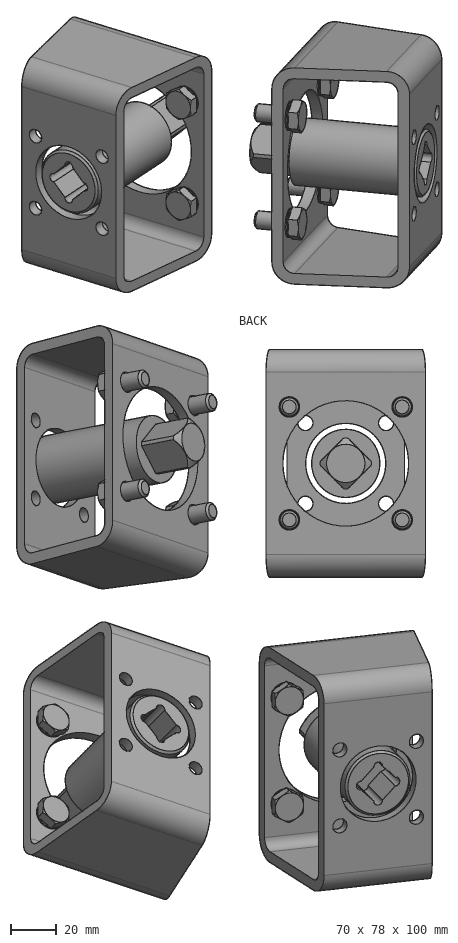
import cadquery as cq
import math

BRACKET_DEPTH = 60.0
BRACKET_HEIGHT = 100.0
WALL = 5.0
CORNER_RADIUS = 10.0
FRONT_WIDTH = 50.0
REAR_WIDTH = 70.0
FRONT_BORE_DIAMETER = 35.0
REAR_BORE_DIAMETER = 55.0
FRONT_HOLE_DIAMETER = 6.5
FRONT_BOLT_CIRCLE = 50.0
REAR_HOLE_DIAMETER = 9.0
REAR_BOLT_CIRCLE = 70.0

SHAFT_DIAMETER = 30.0
SHAFT_BODY_LENGTH = 58.0
SHAFT_LENGTH = 78.0
SHAFT_CHAMFER = 1.0
TIP_FLATS = 17.0
TIP_DIAMETER = 22.4
TIP_CHAMFER_LENGTH = 2.5
TIP_END_DIAMETER = 16.8
TIP_CHAMFER_WIDTH = (TIP_DIAMETER - TIP_END_DIAMETER) / 2
SOCKET_FLATS = 14.0
SOCKET_DEPTH = 20.0
SOCKET_RELIEF_RADIUS = 2.0
SOCKET_RELIEF_REACH = 10.0

WASHER_DIAMETER = 13.0
WASHER_TOP_DIAMETER = 11.6
WASHER_BORE_DIAMETER = 8.4
WASHER_THICKNESS = 0.8
WASHER_RIM = 0.5

SCREW_DIAMETER = 8.0
SCREW_LENGTH = 16.0
SCREW_CHAMFER = 1.0
HEAD_FLATS = 13.0
HEAD_HEIGHT = 5.3
HEAD_COLLAR_DIAMETER = 11.6
HEAD_COLLAR_HEIGHT = 0.6
HEAD_CHAMFER_ANGLE = 30.0

REAR_WALL_INSIDE = BRACKET_DEPTH - WALL
SCREW_SEAT = REAR_WALL_INSIDE - WASHER_THICKNESS


def square_pattern(bolt_circle):
    """Four (x, z) places on a bolt circle, one in each quadrant."""
    offset = bolt_circle / 2 * math.sqrt(0.5)
    return [(x, z) for x in (-offset, offset) for z in (-offset, offset)]


def plane_at(y):
    """Plane normal to +Y at the given y; its local x is X and its local y is -Z."""
    return cq.Workplane(cq.Plane(origin=(0, y, 0), xDir=(1, 0, 0), normal=(0, 1, 0)))


def revolve_about_y(profile):
    """Solid of revolution about the Y axis from (radius, y) points."""
    return cq.Workplane("XY").polyline(profile).close().revolve(360, (0, 0, 0), (0, 1, 0))


def make_bracket():
    def round_block(depth, height, radius):
        block = cq.Workplane("XY").box(REAR_WIDTH, depth, height).edges("|X").fillet(radius)
        return block.translate((0, BRACKET_DEPTH / 2, 0))

    outside = round_block(BRACKET_DEPTH, BRACKET_HEIGHT, CORNER_RADIUS)
    inside = round_block(BRACKET_DEPTH - 2 * WALL, BRACKET_HEIGHT - 2 * WALL, CORNER_RADIUS - WALL)
    plan = [
        (-FRONT_WIDTH / 2, 0),
        (FRONT_WIDTH / 2, 0),
        (REAR_WIDTH / 2, BRACKET_DEPTH),
        (-REAR_WIDTH / 2, BRACKET_DEPTH),
    ]
    trapezoid = cq.Workplane("XY").polyline(plan).close().extrude(BRACKET_HEIGHT / 2, both=True)
    bracket = outside.cut(inside).intersect(trapezoid)

    front_holes = plane_at(0).circle(FRONT_BORE_DIAMETER / 2).extrude(WALL)
    front_holes = front_holes.union(
        plane_at(0).pushPoints(square_pattern(FRONT_BOLT_CIRCLE))
        .circle(FRONT_HOLE_DIAMETER / 2).extrude(WALL)
    )
    rear_holes = plane_at(REAR_WALL_INSIDE).circle(REAR_BORE_DIAMETER / 2).extrude(WALL)
    rear_holes = rear_holes.union(
        plane_at(REAR_WALL_INSIDE).pushPoints(square_pattern(REAR_BOLT_CIRCLE))
        .circle(REAR_HOLE_DIAMETER / 2).extrude(WALL)
    )
    return bracket.cut(front_holes).cut(rear_holes)


def make_socket():
    """Square socket standing on its corner, with a rounded relief at each corner."""
    relief_offset = SOCKET_RELIEF_REACH - SOCKET_RELIEF_RADIUS
    reliefs = [(relief_offset, 0), (-relief_offset, 0), (0, relief_offset), (0, -relief_offset)]
    square = plane_at(0).transformed(rotate=(0, 0, 45)).rect(SOCKET_FLATS, SOCKET_FLATS)
    socket = square.extrude(SOCKET_DEPTH)
    socket = socket.union(
        plane_at(0).pushPoints(reliefs).circle(SOCKET_RELIEF_RADIUS).extrude(SOCKET_DEPTH)
    )
    return socket


def make_shaft():
    radius = SHAFT_DIAMETER / 2
    body = revolve_about_y([
        (0, 0),
        (radius - SHAFT_CHAMFER, 0),
        (radius, SHAFT_CHAMFER),
        (radius, SHAFT_BODY_LENGTH),
        (0, SHAFT_BODY_LENGTH),
    ])
    tip_length = SHAFT_LENGTH - SHAFT_BODY_LENGTH
    tip = plane_at(SHAFT_BODY_LENGTH).circle(TIP_DIAMETER / 2).extrude(tip_length)
    tip = tip.faces(">Y").chamfer(TIP_CHAMFER_LENGTH, TIP_CHAMFER_WIDTH)
    tip_square = plane_at(SHAFT_BODY_LENGTH).transformed(rotate=(0, 0, 45))
    tip = tip.intersect(tip_square.rect(TIP_FLATS, TIP_FLATS).extrude(tip_length))
    return body.union(tip).cut(make_socket())


def make_washer(x, z):
    bore = WASHER_BORE_DIAMETER / 2
    washer = revolve_about_y([
        (bore, REAR_WALL_INSIDE),
        (WASHER_DIAMETER / 2, REAR_WALL_INSIDE),
        (WASHER_DIAMETER / 2, REAR_WALL_INSIDE - WASHER_RIM),
        (WASHER_TOP_DIAMETER / 2, SCREW_SEAT),
        (bore, SCREW_SEAT),
    ])
    return washer.translate((x, 0, z))


def make_screw(x, z):
    head_end = SCREW_SEAT - HEAD_HEIGHT
    hex_length = HEAD_HEIGHT - HEAD_COLLAR_HEIGHT
    corner_diameter = HEAD_FLATS / math.cos(math.radians(30))
    chamfer = (corner_diameter - HEAD_FLATS) / 2 * math.tan(math.radians(HEAD_CHAMFER_ANGLE))
    hexagon = plane_at(head_end).transformed(rotate=(0, 0, 30)).polygon(6, corner_diameter)
    envelope = revolve_about_y([
        (0, head_end),
        (HEAD_FLATS / 2, head_end),
        (corner_diameter / 2, head_end + chamfer),
        (corner_diameter / 2, head_end + hex_length),
        (0, head_end + hex_length),
    ])
    head = hexagon.extrude(hex_length).intersect(envelope)

    collar_start = head_end + hex_length
    collar = plane_at(collar_start).circle(HEAD_COLLAR_DIAMETER / 2).extrude(HEAD_COLLAR_HEIGHT)
    shank = plane_at(SCREW_SEAT).circle(SCREW_DIAMETER / 2).extrude(SCREW_LENGTH)
    shank = shank.faces(">Y").chamfer(SCREW_CHAMFER)
    return head.union(collar).union(shank).translate((x, 0, z))


bracket = make_bracket()
shaft = make_shaft()
washers = [make_washer(x, z) for x, z in square_pattern(REAR_BOLT_CIRCLE)]
screws = [make_screw(x, z) for x, z in square_pattern(REAR_BOLT_CIRCLE)]

result = cq.Compound.makeCompound([
    bracket.val(),
    shaft.val(),
    *[washer.val() for washer in washers],
    *[screw.val() for screw in screws],
])